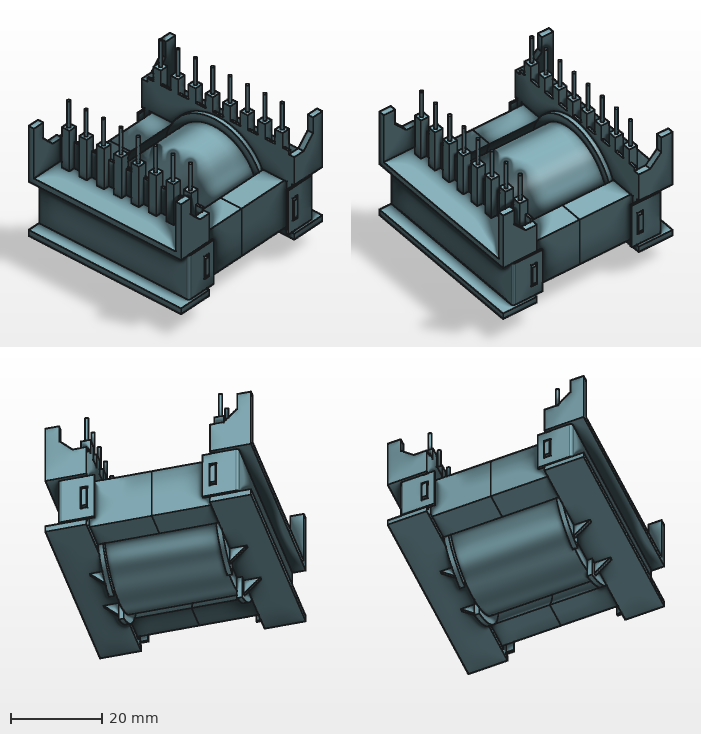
import cadquery as cq


overall_width = 44.6
overall_length = 46.8
pin_tip_z = 26.1
fit_gap = 0.1

core_width = 38.65
core_height = 12.8
core_half_length = 20.05
centre_leg_diameter = 12.8
core_window_half_length = 14.15
core_window_radius = 14.6

bore_diameter = 13.1
tube_diameter = 15.1
disc_radius = 14.5
disc_inner_y = 12.85
disc_outer_y = 14.05
wire_notch_width = 7.95

plate_thickness = 1.6
side_wall_thickness = 1.6
side_wall_top_z = 21.55
side_wall_horn_length = 3.15
side_wall_slope_top_z = 17.3
side_wall_low_z = 14.15
side_wall_low_length = 3.15
terminal_wall_thickness = 0.6
terminal_wall_top_z = 15.05

gusset_thickness = 0.7
gusset_center_x = 5.6
gusset_size = 3.85

pins_per_row = 8
pin_row_length = 35.55
pin_diameter = 0.8
pin_y = 15.2
block_width = 2.2
block_top_z = 19.0

post_inner_x = 20.12
post_length = 1.2
nub_height = 4.85

winding_bore_diameter = 15.2
winding_diameter = 25.0

clip_thickness = 0.5
clip_height = 11.9
clip_width = 44.2
clip_arm_end_y = 12.3
clip_corner_radius = 0.6
latch_slot_height = 6.1
latch_slot_margin = 0.2

core_half_width = core_width / 2
plate_inner_z = core_height / 2 + fit_gap
plate_outer_z = plate_inner_z + plate_thickness
half_width = overall_width / 2
half_length = overall_length / 2
side_wall_inner_x = half_width - side_wall_thickness
pin_pitch = pin_row_length / (pins_per_row - 1)
clip_inner_x = clip_width / 2 - clip_thickness
clip_outer_y = core_half_length + clip_thickness
latch_center_y = disc_outer_y + post_length / 2


def box_between(x0, x1, y0, y1, z0, z1):
    """Box spanning the given ranges."""
    return cq.Workplane("XY").box(x1 - x0, y1 - y0, z1 - z0, centered=False).translate((x0, y0, z0))


def cylinder_along_y(diameter, y0, y1):
    """Cylinder on the winding axis from y0 to y1."""
    return cq.Workplane("XZ", origin=(0, y0, 0)).circle(diameter / 2).extrude(y0 - y1)


def with_mirror(shape, plane):
    """The shape joined with its mirror image."""
    return shape.union(shape.mirror(plane))


def turned_to_front(shape):
    """The same shape at the other end of the winding axis."""
    return shape.mirror("XZ")


def end_plates():
    upper = box_between(-half_width, half_width, disc_outer_y, half_length, plate_inner_z, plate_outer_z)
    return with_mirror(upper, "XY")


def side_walls():
    horn_inner_y = half_length - side_wall_horn_length
    slope_foot_y = disc_outer_y + side_wall_low_length
    outline = [
        (disc_outer_y, plate_inner_z),
        (half_length, plate_inner_z),
        (half_length, side_wall_top_z),
        (horn_inner_y, side_wall_top_z),
        (horn_inner_y, side_wall_slope_top_z),
        (slope_foot_y, side_wall_low_z),
        (disc_outer_y, side_wall_low_z),
    ]
    wall = (
        cq.Workplane("YZ", origin=(side_wall_inner_x, 0, 0))
        .polyline(outline)
        .close()
        .extrude(side_wall_thickness)
    )
    return with_mirror(wall, "YZ")


def terminal_wall():
    return box_between(
        -side_wall_inner_x, side_wall_inner_x,
        disc_outer_y, disc_outer_y + terminal_wall_thickness,
        plate_inner_z, terminal_wall_top_z,
    )


def terminal(x):
    """One square block with its round pin."""
    block = box_between(
        x - block_width / 2, x + block_width / 2,
        disc_outer_y, disc_outer_y + block_width,
        plate_inner_z, block_top_z,
    )
    pin = (
        cq.Workplane("XY", origin=(x, pin_y, block_top_z))
        .circle(pin_diameter / 2)
        .extrude(pin_tip_z - block_top_z)
    )
    return block.union(pin)


def gussets():
    gusset = (
        cq.Workplane("YZ", origin=(gusset_center_x, 0, 0))
        .moveTo(disc_outer_y, -plate_outer_z)
        .lineTo(disc_outer_y + gusset_size, -plate_outer_z)
        .lineTo(disc_outer_y, -plate_outer_z - gusset_size)
        .close()
        .extrude(gusset_thickness / 2, both=True)
    )
    return with_mirror(gusset, "YZ")


def latch_posts():
    y0 = disc_outer_y
    y1 = disc_outer_y + post_length
    post = box_between(post_inner_x, clip_inner_x, y0, y1, -plate_inner_z, plate_inner_z)
    nub = box_between(clip_inner_x, half_width, y0, y1, -nub_height / 2, nub_height / 2)
    return with_mirror(post.union(nub), "YZ")


def end_disc():
    """Round disc that holds the winding, notched at the bottom for the wires."""
    disc = cylinder_along_y(2 * disc_radius, disc_inner_y, disc_outer_y)
    notch = box_between(
        -wire_notch_width / 2, wire_notch_width / 2,
        disc_inner_y, disc_outer_y,
        -disc_radius, -plate_outer_z,
    )
    return disc.cut(notch)


def make_bobbin():
    end = end_disc().union(end_plates()).union(side_walls()).union(terminal_wall())
    for index in range(pins_per_row):
        x = index * pin_pitch - pin_row_length / 2
        end = end.union(terminal(x))
    end = end.union(gussets()).union(latch_posts())
    tube = cylinder_along_y(tube_diameter, -disc_outer_y, disc_outer_y)
    bore = cylinder_along_y(bore_diameter, -disc_outer_y, disc_outer_y)
    return tube.union(end).union(turned_to_front(end)).cut(bore)


def make_winding():
    copper = cylinder_along_y(winding_diameter, -disc_inner_y, disc_inner_y)
    return copper.cut(cylinder_along_y(winding_bore_diameter, -disc_inner_y, disc_inner_y))


def make_core_half():
    """E-shaped ferrite with a round centre leg and outer legs hollowed to match."""
    half_height = core_height / 2
    block = box_between(-core_half_width, core_half_width, 0, core_half_length, -half_height, half_height)
    window = cylinder_along_y(2 * core_window_radius, 0, core_window_half_length)
    centre_leg = cylinder_along_y(centre_leg_diameter, 0, core_window_half_length)
    return block.cut(window).union(centre_leg)


def make_clip():
    """Bent U-shaped strip with a latch slot in each arm."""
    half_height = clip_height / 2
    strip = box_between(
        -clip_width / 2, clip_width / 2, clip_arm_end_y, clip_outer_y, -half_height, half_height
    )
    strip = strip.edges("|Z and >Y").fillet(clip_corner_radius)
    inside = box_between(
        -clip_inner_x, clip_inner_x, clip_arm_end_y, core_half_length, -half_height, half_height
    )
    inside = inside.edges("|Z and >Y").fillet(clip_corner_radius - clip_thickness)
    slots = cq.Workplane("XY", origin=(0, latch_center_y, 0)).box(
        clip_width, post_length + 2 * latch_slot_margin, latch_slot_height
    )
    return strip.cut(inside).cut(slots)


bobbin = make_bobbin()
winding = make_winding()
core_back = make_core_half()
core_front = turned_to_front(core_back)
clip_back = make_clip()
clip_front = turned_to_front(clip_back)

result = cq.Compound.makeCompound([
    bobbin.val(),
    winding.val(),
    core_back.val(),
    core_front.val(),
    clip_back.val(),
    clip_front.val(),
])